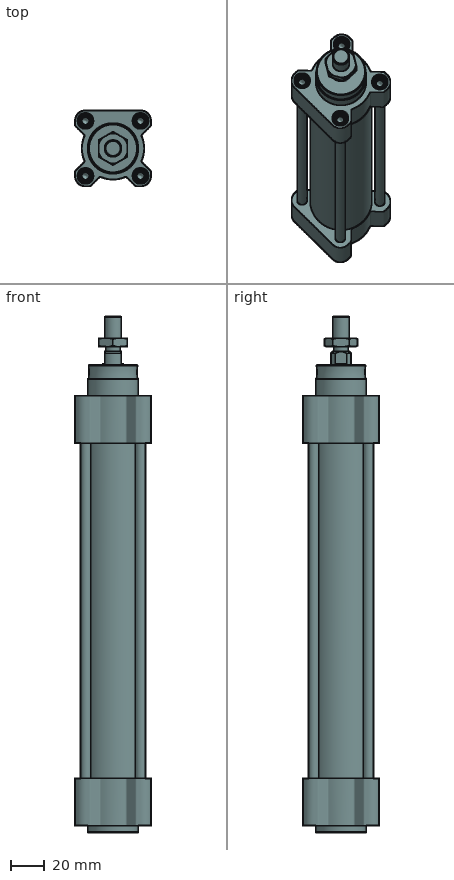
import cadquery as cq
import math

total_length = 305.1
rear_boss_length = 4.1
cap_length = 28.0
tube_length = 198.0
rear_cap_bottom = rear_boss_length
rear_cap_top = rear_cap_bottom + cap_length
front_cap_bottom = rear_cap_top + tube_length
front_cap_top = front_cap_bottom + cap_length

cap_size = 45.0
half_cap = cap_size / 2
tie_rod_offset = 16.25
lobe_radius = half_cap - tie_rod_offset
cap_waist_diameter = 37.0
lobe_flat_end = 13.5
lobe_flare_depth = 1.0
lobe_fillet = 1.2
waist_fillet = 1.0

boss_diameter = 30.0
boss_chamfer = 0.4
front_boss_length = 10.1
collar_diameter = 29.0
collar_chamfer = 0.4
collar_waist_depth = 0.2
collar_length = 8.1
collar_top = front_cap_top + front_boss_length + collar_length

tube_diameter = 36.6
tie_rod_diameter = 6.0

screw_recess_diameter = 8.8
screw_recess_rim_diameter = 9.5
screw_recess_depth = 6.0
screw_head_diameter = 8.2
screw_head_chamfer = 0.4
screw_head_height = 5.0
socket_rim_diameter = 6.0
socket_diameter = 4.92
socket_depth = 2.5
socket_tip_diameter = 4.46

rod_diameter = 12.0
rod_flat_width = 10.0
rod_seat_depth = 10.0
threaded_end_length = 20.8
rod_shoulder_z = total_length - threaded_end_length
rod_shoulder_chamfer = 1.1
rod_flats_lift = 0.6
rod_flats_bottom = collar_top + rod_flats_lift
thread_diameter = 10.0
thread_end_chamfer = 0.6
neck_diameter = 8.65

nut_width = 17.0
nut_height = 5.0
nut_end_distance = 13.0
nut_bottom = total_length - nut_end_distance - nut_height
nut_corner_diameter = nut_width / math.cos(math.pi / 6)
nut_chamfer_diameter = 17.6
nut_chamfer_angle = math.radians(30)
nut_turn = 30.0

tie_rod_places = [
    (x, y)
    for x in (-tie_rod_offset, tie_rod_offset)
    for y in (-tie_rod_offset, tie_rod_offset)
]


def cylinder(diameter, bottom, height):
    return cq.Workplane("XY").workplane(offset=bottom).circle(diameter / 2).extrude(height)


def cone(bottom_diameter, top_diameter, bottom, height):
    base = cq.Vector(0, 0, bottom)
    return cq.Workplane(cq.Solid.makeCone(bottom_diameter / 2, top_diameter / 2, height, base))


def make_side_gap(bottom):
    """Gap between the two lobes on the -Y side, with 45 degree sides down to the round waist.

    The gap flares out along the side face so that rounding its edges also rounds the lobe corners.
    """
    gap = (
        cq.Workplane("XY")
        .workplane(offset=bottom)
        .moveTo(-tie_rod_offset, -half_cap - lobe_flare_depth)
        .lineTo(tie_rod_offset, -half_cap - lobe_flare_depth)
        .lineTo(tie_rod_offset, -half_cap)
        .lineTo(lobe_flat_end, -half_cap)
        .lineTo(0, lobe_flat_end - half_cap)
        .lineTo(-lobe_flat_end, -half_cap)
        .lineTo(-tie_rod_offset, -half_cap)
        .close()
        .extrude(cap_length)
        .cut(cylinder(cap_waist_diameter, bottom, cap_length))
    )
    middle = bottom + cap_length / 2
    for x in (-lobe_flat_end, lobe_flat_end):
        gap = gap.edges(cq.selectors.NearestToPointSelector((x, -half_cap, middle))).fillet(lobe_fillet)
    side_offset = half_cap - lobe_flat_end
    waist_x = (math.sqrt(cap_waist_diameter**2 / 2 - side_offset**2) - side_offset) / 2
    for x in (-waist_x, waist_x):
        waist_corner = (x, -waist_x - side_offset, middle)
        gap = gap.edges(cq.selectors.NearestToPointSelector(waist_corner)).fillet(waist_fillet)
    return gap


def make_cap(bottom):
    """Square cap with rounded corners; three sides are relieved, the +Y side stays flat."""
    cap = (
        cq.Workplane("XY")
        .workplane(offset=bottom)
        .rect(cap_size, cap_size)
        .extrude(cap_length)
        .edges("|Z")
        .fillet(lobe_radius)
    )
    for angle in (-90, 0, 90):
        cap = cap.cut(make_side_gap(bottom).rotate((0, 0, 0), (0, 0, 1), angle))
    return cap


def make_screw_recess():
    """Recess around one screw head, with the round socket and its conical tip."""
    recess_bottom = front_cap_top - screw_recess_depth
    head_top = recess_bottom + screw_head_height
    socket_bottom = head_top - socket_depth
    head = cylinder(screw_head_diameter, recess_bottom, screw_head_height)
    head = head.faces(">Z").chamfer(screw_head_chamfer)
    socket = cylinder(socket_diameter, socket_bottom, socket_depth)
    socket_rim_depth = (socket_rim_diameter - socket_diameter) / 2
    socket_rim = cone(socket_diameter, socket_rim_diameter, head_top - socket_rim_depth, socket_rim_depth)
    tip_depth = socket_tip_diameter / 2
    tip = cone(0, socket_tip_diameter, socket_bottom - tip_depth, tip_depth)
    recess_rim_depth = (screw_recess_rim_diameter - screw_recess_diameter) / 2
    recess_rim = cone(
        screw_recess_diameter, screw_recess_rim_diameter, front_cap_top - recess_rim_depth, recess_rim_depth
    )
    recess = cylinder(screw_recess_diameter, recess_bottom, screw_recess_depth)
    return recess.cut(head).union(recess_rim).union(socket).union(socket_rim).union(tip)


def make_collar():
    """Front collar with a slightly hollow side and a chamfered top rim."""
    radius = collar_diameter / 2
    bottom = collar_top - collar_length
    side_top = collar_top - collar_chamfer
    return (
        cq.Workplane("XZ")
        .moveTo(0, bottom)
        .lineTo(radius, bottom)
        .threePointArc((radius - collar_waist_depth, (bottom + side_top) / 2), (radius, side_top))
        .lineTo(radius - collar_chamfer, collar_top)
        .lineTo(0, collar_top)
        .close()
        .revolve(360, (0, 0, 0), (0, 1, 0))
    )


def make_housing():
    """Both caps, the tube, the tie rods with their screw heads, and the end bosses."""
    rear_boss = cylinder(boss_diameter, 0, rear_boss_length).faces("<Z").chamfer(boss_chamfer)
    front_boss = cylinder(boss_diameter, front_cap_top, front_boss_length).faces(">Z").chamfer(boss_chamfer)
    housing = make_cap(rear_cap_bottom).union(make_cap(front_cap_bottom))
    housing = housing.union(cylinder(tube_diameter, rear_cap_top, tube_length))
    housing = housing.union(rear_boss).union(front_boss).union(make_collar())
    tie_rod = cylinder(tie_rod_diameter, rear_cap_top, tube_length)
    screw_recess = make_screw_recess()
    for x, y in tie_rod_places:
        housing = housing.union(tie_rod.translate((x, y, 0)))
        housing = housing.cut(screw_recess.translate((x, y, 0)))
    return housing.cut(cylinder(rod_diameter, collar_top - rod_seat_depth, rod_seat_depth))


def make_rod():
    """Piston rod with two wrench flats facing X, a narrow neck and a threaded end."""
    shank_bottom = collar_top - rod_seat_depth
    shank = cylinder(rod_diameter, shank_bottom, rod_shoulder_z - shank_bottom)
    shank = shank.faces(">Z").chamfer(rod_shoulder_chamfer)
    outside_flats = (
        cq.Workplane("XY")
        .workplane(offset=rod_flats_bottom)
        .rect(2 * rod_diameter, 2 * rod_diameter + rod_flat_width)
        .rect(rod_flat_width, 2 * rod_diameter)
        .extrude(rod_shoulder_z - rod_flats_bottom)
    )
    neck = cylinder(neck_diameter, rod_shoulder_z, nut_bottom - rod_shoulder_z)
    thread = cylinder(thread_diameter, nut_bottom, total_length - nut_bottom)
    thread = thread.faces(">Z").chamfer(thread_end_chamfer)
    return shank.cut(outside_flats).union(neck).union(thread)


def make_nut():
    """Hexagonal lock nut with two flats facing X, bored to fit the thread."""
    nut = (
        cq.Workplane("XY")
        .workplane(offset=nut_bottom)
        .polygon(6, nut_corner_diameter)
        .extrude(nut_height)
        .rotate((0, 0, 0), (0, 0, 1), nut_turn)
    )
    chamfer_width = (nut_corner_diameter - nut_chamfer_diameter) / 2
    chamfer_height = chamfer_width * math.tan(nut_chamfer_angle)
    bore = cylinder(thread_diameter, nut_bottom, nut_height)
    rounding = cylinder(nut_corner_diameter, nut_bottom, nut_height)
    rounding = rounding.faces("<Z or >Z").chamfer(chamfer_height, chamfer_width)
    return nut.intersect(rounding).cut(bore)


housing = make_housing()
rod = make_rod()
nut = make_nut()
result = cq.Compound.makeCompound([housing.val(), rod.val(), nut.val()])